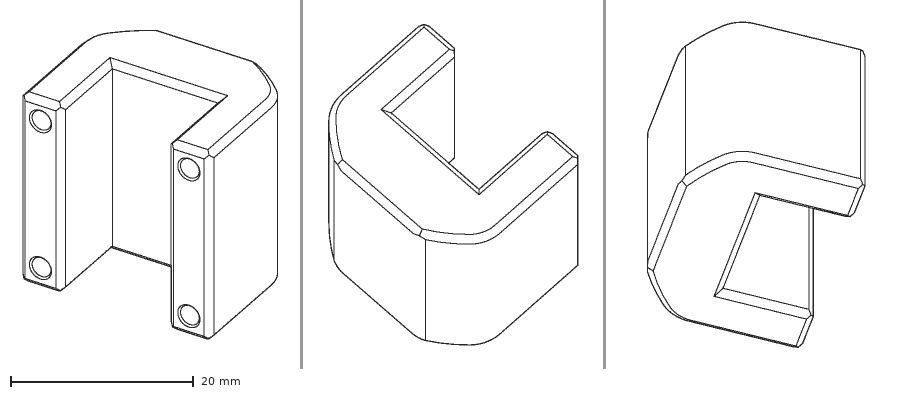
import cadquery as cq
import math

width = 24.5
depth = 19.6
height = 24.5
edge_chamfer = 0.78

slot_width = 13.52
slot_depth = 10.6

crown_radius = 20.58
shoulder_radius = 4.7
shoulder_start = 12.86
blend_angle = math.radians(45)

hole_diameter = 2.4
hole_mouth_chamfer = 0.22
hole_depth = 6.12
hole_end_margin = 2.77

half_width = width / 2
half_slot = slot_width / 2
front_y = -depth / 2
back_y = depth / 2
slot_floor_y = front_y + slot_depth
shoulder_y = front_y + shoulder_start

shoulder_center_x = half_width - shoulder_radius
center_distance = crown_radius - shoulder_radius
crown_center_x = shoulder_center_x - center_distance * math.cos(blend_angle)
crown_center_y = shoulder_y - center_distance * math.sin(blend_angle)
crown_end_angle = math.asin((back_y - crown_center_y) / crown_radius)


def crown_point(angle):
    """Point on the right-hand crown arc; the angle is measured from +X."""
    return (
        crown_center_x + crown_radius * math.cos(angle),
        crown_center_y + crown_radius * math.sin(angle),
    )


def shoulder_point(angle):
    """Point on the right-hand shoulder arc; the angle is measured from +X."""
    return (
        shoulder_center_x + shoulder_radius * math.cos(angle),
        shoulder_y + shoulder_radius * math.sin(angle),
    )


def mirrored(point):
    """Matching point on the left-hand side."""
    return (-point[0], point[1])


def make_body():
    """U-shaped profile extruded along Z."""
    blend = crown_point(blend_angle)
    crown_end = crown_point(crown_end_angle)
    crown_middle = crown_point((blend_angle + crown_end_angle) / 2)
    shoulder_middle = shoulder_point(blend_angle / 2)
    return (
        cq.Workplane("XY", origin=(0, 0, -height / 2))
        .moveTo(half_slot, front_y)
        .lineTo(half_width, front_y)
        .lineTo(half_width, shoulder_y)
        .threePointArc(shoulder_middle, blend)
        .threePointArc(crown_middle, crown_end)
        .lineTo(*mirrored(crown_end))
        .threePointArc(mirrored(crown_middle), mirrored(blend))
        .threePointArc(mirrored(shoulder_middle), (-half_width, shoulder_y))
        .lineTo(-half_width, front_y)
        .lineTo(-half_slot, front_y)
        .lineTo(-half_slot, slot_floor_y)
        .lineTo(half_slot, slot_floor_y)
        .close()
        .extrude(height)
    )


def chamfer_edges(body):
    """Bevel the end outlines and the upright edges separately, keeping only what both leave.

    The bevels then run straight into one another at the corners.
    """
    beveled_ends = body.faces("<Z or >Z").edges().chamfer(edge_chamfer)
    beveled_uprights = body.faces("<Y or >Y").edges("|Z").chamfer(edge_chamfer)
    return beveled_ends.intersect(beveled_uprights)


def cut_holes(body):
    """Cut four blind holes with chamfered mouths, two in each leg tip."""
    hole_spacing_x = half_width + half_slot
    hole_spacing_z = height - 2 * hole_end_margin
    mouth_diameter = hole_diameter + 2 * hole_mouth_chamfer
    return (
        body.faces("<Y")
        .workplane(origin=(0, front_y, 0))
        .rarray(hole_spacing_x, hole_spacing_z, 2, 2)
        .cskHole(hole_diameter, mouth_diameter, 90, hole_depth)
    )


result = cut_holes(chamfer_edges(make_body()))